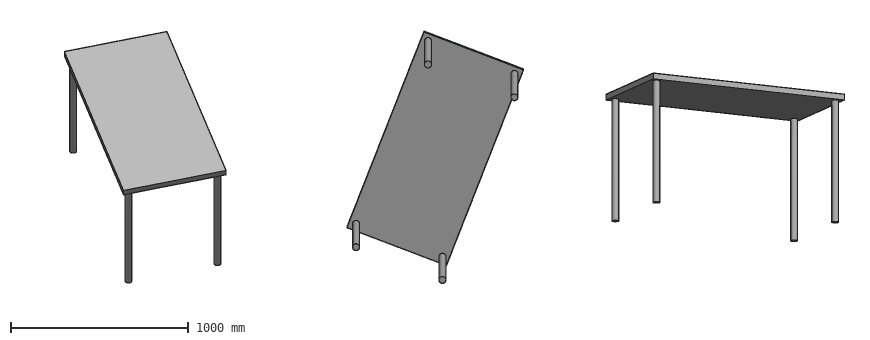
import cadquery as cq

top_length = 1200.0
top_width = 600.0
table_height = 735.0
top_thickness = 34.0
leg_diameter = 40.0
leg_inset = 40.0

leg_height = table_height - top_thickness
leg_spacing_x = top_length - 2 * leg_inset
leg_spacing_y = top_width - 2 * leg_inset


def make_top():
    """Rectangular table top resting on the leg ends."""
    return (
        cq.Workplane("XY")
        .workplane(offset=leg_height)
        .rect(top_length, top_width)
        .extrude(top_thickness)
    )


def make_legs():
    """Four round legs, one near each corner, standing on Z = 0."""
    return (
        cq.Workplane("XY")
        .rect(leg_spacing_x, leg_spacing_y, forConstruction=True)
        .vertices()
        .circle(leg_diameter / 2)
        .extrude(leg_height)
    )


result = make_top().union(make_legs())